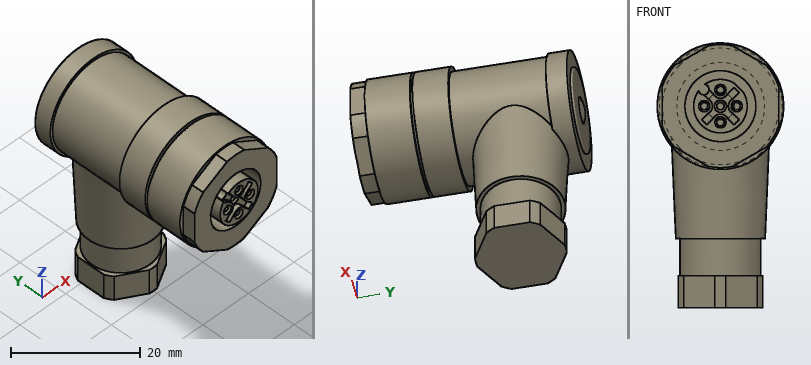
import cadquery as cq
import math


dome_tip_y = 10.1
disk_back_y = 9.6
cap_back_y = 9.22
cap_front_y = 5.9
rear_ring_back_y = -9.47
rear_ring_front_y = -15.1
nut_ring_back_y = -15.55
nut_ring_front_y = -22.67
nut_front_y = -25.1
insert_front_y = -25.85

dome_radius = 2.15
disk_radius = 6.8
disk_edge_fillet = 0.15
cap_radius = 9.5
tube_radius = 9.0
ring_radius = 9.8

nut_flat_distance = 9.0
nut_corner_radius = 9.5
socket_radius = 5.5
socket_floor_y = nut_ring_back_y

neck_bottom_z = -20.5
gland_nut_top_z = -26.2
gland_nut_bottom_z = -31.2
neck_axis_radius = 7.8
neck_bottom_radius = 6.93
gland_radius = 6.27
gland_flat_distance = 6.55
gland_corner_radius = 7.15
hexagon_sides = 6

insert_radius = 4.15
insert_flat_distance = 4.0
diagonal = 45
keyway_offset = 3.65
keyway_radius = 0.8
contact_circle_radius = 2.5
contact_hole_radius = 0.57
contact_hole_depth = 4.9
contact_mouth_radius = 0.85
centre_mouth_radius = 0.95
mouth_depth = 0.4
cross_depth = 1.0
cross_arm_width = 1.1
cross_arm_reach = 3.53
cross_centre_width = 3.3
contact_boss_radius = 1.27
insert_length = socket_floor_y - insert_front_y


def facing_front(y):
    """Workplane across the barrel axis at y: local x is X, local y is Z, extrusion goes to -Y."""
    return cq.Workplane("XZ", origin=(0, y, 0))


def rounded_hexagon(plane, flat_distance, corner_radius, height):
    """Hexagonal prism whose corners are turned down to a cylinder, with two flats facing -X and +X."""
    hexagon = plane.polygon(hexagon_sides, 2 * flat_distance, circumscribed=True).extrude(height)
    return hexagon.intersect(plane.circle(corner_radius).extrude(height))


def make_barrel():
    """Turned outline of dome, disk, cap, tube and the two rings."""
    dome_height = dome_tip_y - disk_back_y
    sphere_radius = (dome_radius**2 + dome_height**2) / (2 * dome_height)
    half_angle = math.asin(dome_radius / sphere_radius) / 2
    dome_middle = (
        sphere_radius * math.sin(half_angle),
        dome_tip_y - sphere_radius * (1 - math.cos(half_angle)),
    )
    fillet_centre = (disk_radius - disk_edge_fillet, disk_back_y - disk_edge_fillet)
    fillet_middle = tuple(c + disk_edge_fillet * math.sqrt(0.5) for c in fillet_centre)
    return (
        cq.Workplane("XY")
        .moveTo(0, dome_tip_y)
        .threePointArc(dome_middle, (dome_radius, disk_back_y))
        .lineTo(fillet_centre[0], disk_back_y)
        .threePointArc(fillet_middle, (disk_radius, fillet_centre[1]))
        .lineTo(disk_radius, cap_back_y)
        .lineTo(cap_radius, cap_back_y)
        .lineTo(cap_radius, cap_front_y)
        .lineTo(tube_radius, cap_front_y)
        .lineTo(tube_radius, rear_ring_back_y)
        .lineTo(ring_radius, rear_ring_back_y)
        .lineTo(ring_radius, rear_ring_front_y)
        .lineTo(tube_radius, rear_ring_front_y)
        .lineTo(tube_radius, nut_ring_back_y)
        .lineTo(ring_radius, nut_ring_back_y)
        .lineTo(ring_radius, nut_ring_front_y)
        .lineTo(0, nut_ring_front_y)
        .close()
        .revolve(360, (0, 0, 0), (0, 1, 0))
    )


def make_cable_outlet():
    """Tapered neck, gland cylinder and gland nut below the barrel."""
    turned = (
        cq.Workplane("XZ")
        .polyline([
            (0, 0),
            (neck_axis_radius, 0),
            (neck_bottom_radius, neck_bottom_z),
            (gland_radius, neck_bottom_z),
            (gland_radius, gland_nut_top_z),
            (0, gland_nut_top_z),
        ])
        .close()
        .revolve(360, (0, 0, 0), (0, 1, 0))
    )
    gland_nut = rounded_hexagon(
        cq.Workplane("XY", origin=(0, 0, gland_nut_bottom_z)),
        gland_flat_distance,
        gland_corner_radius,
        gland_nut_top_z - gland_nut_bottom_z,
    )
    return turned.union(gland_nut)


def make_housing():
    """Barrel, locking nut and cable outlet, with the open socket at the front."""
    locking_nut = rounded_hexagon(
        facing_front(nut_ring_front_y),
        nut_flat_distance,
        nut_corner_radius,
        nut_ring_front_y - nut_front_y,
    )
    socket = facing_front(socket_floor_y).circle(socket_radius).extrude(socket_floor_y - nut_front_y)
    return make_barrel().union(locking_nut).union(make_cable_outlet()).cut(socket)


def contact_hole(x, z, mouth_y, mouth_radius):
    """Blind hole with a conical mouth that starts at mouth_y."""
    mouth_end_y = mouth_y + mouth_depth
    mouth = (
        facing_front(mouth_end_y).center(x, z).circle(contact_hole_radius)
        .workplane(offset=mouth_depth).circle(mouth_radius).loft()
    )
    bore = facing_front(insert_front_y + contact_hole_depth).center(x, z).circle(
        contact_hole_radius
    ).extrude(contact_hole_depth)
    return mouth.union(bore)


def make_insert():
    """Cylindrical insert with a flat, a keyway, a crossed recess and five contact holes."""
    body = facing_front(socket_floor_y).circle(insert_radius).extrude(insert_length)

    flat_cutter = (
        facing_front(socket_floor_y).transformed(rotate=(0, 0, diagonal))
        .center(insert_flat_distance + insert_radius, 0)
        .rect(2 * insert_radius, 2 * insert_radius).extrude(insert_length)
    )
    body = body.cut(flat_cutter)

    keyway = (
        facing_front(socket_floor_y).transformed(rotate=(0, 0, diagonal))
        .center(0, keyway_offset).circle(keyway_radius).extrude(insert_length)
    )
    body = body.cut(keyway)

    outer_holes = [
        (contact_circle_radius, 0),
        (0, contact_circle_radius),
        (-contact_circle_radius, 0),
        (0, -contact_circle_radius),
    ]
    cross_floor_y = insert_front_y + cross_depth
    cross_plane = facing_front(cross_floor_y)
    cross = cross_plane.rect(cross_centre_width, cross_centre_width).extrude(cross_depth)
    for turn in (diagonal, -diagonal):
        arm = cross_plane.transformed(rotate=(0, 0, turn)).rect(
            2 * cross_arm_reach, cross_arm_width
        ).extrude(cross_depth)
        cross = cross.union(arm)
    bosses = cross_plane.pushPoints(outer_holes).circle(contact_boss_radius).extrude(cross_depth)
    body = body.cut(cross.cut(bosses))

    for x, z in outer_holes:
        body = body.cut(contact_hole(x, z, insert_front_y, contact_mouth_radius))
    return body.cut(contact_hole(0, 0, cross_floor_y, centre_mouth_radius))


housing = make_housing()
contact_insert = make_insert()
result = cq.Compound.makeCompound([housing.val(), contact_insert.val()])